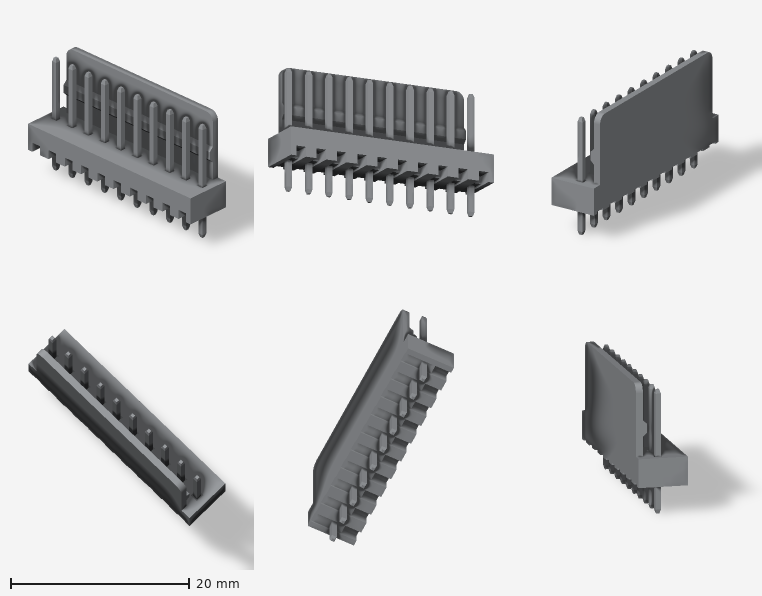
import cadquery as cq


pin_count = 10
pin_pitch = 2.55
pin_width = 0.64
pin_top = 10.95
pin_bottom = -3.28
tip_height = 0.45
tip_width = 0.35
pin_positions = [(i - (pin_count - 1) / 2) * pin_pitch for i in range(pin_count)]

housing_length = pin_count * pin_pitch
housing_depth = 5.7
housing_height = 3.3
housing_back = 2.5
housing_front = housing_back - housing_depth

funnel_width = 1.02
funnel_depth = (funnel_width - pin_width) / 2

slot_width = 1.2
slot_height = 0.25
notch_height = 1.15
notch_depth = 1.9

wall_length = housing_length - pin_pitch
wall_thickness = 0.81
wall_height = 8.33
wall_corner_radius = 1.02
wall_front = housing_back - wall_thickness
rib_clearance = 2.24
rib_height = 1.95
rib_projection = 0.48
rib_bottom = housing_height + rib_clearance
rib_top = rib_bottom + rib_height


def box(length, y_start, y_end, z_start, z_end):
    """Box centred on x = 0 between the given y and z limits."""
    depth = y_end - y_start
    height = z_end - z_start
    return (
        cq.Workplane("XY")
        .box(length, depth, height, centered=(True, False, False))
        .translate((0, y_start, z_start))
    )


def square_taper(start_z, start_width, end_z, end_width):
    """Square frustum on the z axis between two levels."""
    return (
        cq.Workplane("XY", origin=(0, 0, start_z))
        .rect(start_width, start_width)
        .workplane(offset=end_z - start_z)
        .rect(end_width, end_width)
        .loft(ruled=True)
    )


def make_latch_wall():
    """Wall with rounded top corners and a rib with 45-degree flanks."""
    wall = box(wall_length, wall_front, housing_back, housing_height, housing_height + wall_height)
    wall = wall.edges("|Y and >Z").fillet(wall_corner_radius)
    rib_face = wall_front - rib_projection
    rib = (
        cq.Workplane("YZ", origin=(-wall_length / 2, 0, 0))
        .moveTo(wall_front, rib_bottom)
        .lineTo(rib_face, rib_bottom + rib_projection)
        .lineTo(rib_face, rib_top - rib_projection)
        .lineTo(wall_front, rib_top)
        .close()
        .extrude(wall_length)
    )
    return wall.union(rib)


def make_relief():
    """Shallow slot through the full depth, with a taller notch at the front."""
    slot = box(slot_width, housing_front, housing_back, 0, slot_height)
    notch = box(slot_width, housing_front, housing_front + notch_depth, 0, notch_height)
    return slot.union(notch)


def make_pin():
    """Square pin with a tapered tip at both ends."""
    shoulder_top = pin_top - tip_height
    shoulder_bottom = pin_bottom + tip_height
    shank = box(pin_width, -pin_width / 2, pin_width / 2, shoulder_bottom, shoulder_top)
    upper_tip = square_taper(shoulder_top, pin_width, pin_top, tip_width)
    lower_tip = square_taper(pin_bottom, tip_width, shoulder_bottom, pin_width)
    return shank.union(upper_tip).union(lower_tip)


result = box(housing_length, housing_front, housing_back, 0, housing_height)
result = result.union(make_latch_wall())

relief = make_relief()
funnel = square_taper(housing_height - funnel_depth, pin_width, housing_height, funnel_width)
pin = make_pin()
for x in pin_positions:
    shift = (x, 0, 0)
    result = result.cut(relief.translate(shift)).cut(funnel.translate(shift))
    result = result.union(pin.translate(shift))